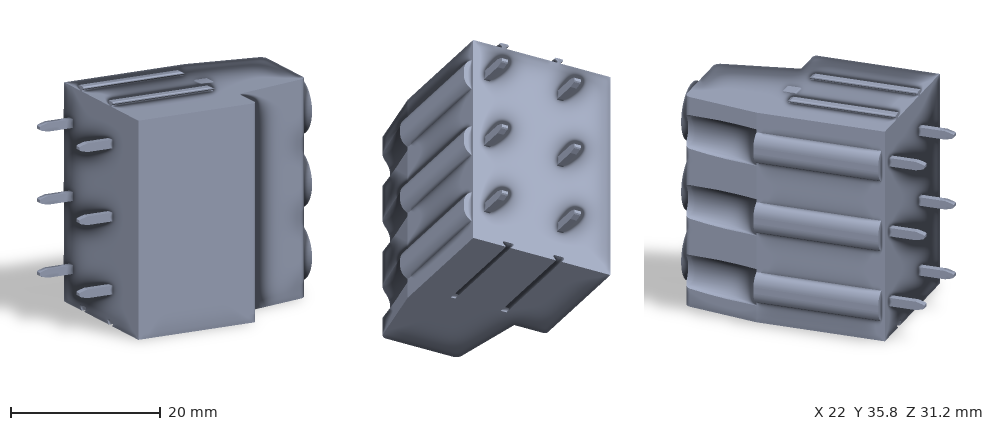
import cadquery as cq
import math


POLE_COUNT = 3
POLE_PITCH = 10.15
POLE_HEIGHTS = [(i + 0.5) * POLE_PITCH for i in range(POLE_COUNT)]

HOUSING_WIDTH = 20.87
HOUSING_LENGTH = 29.32
HOUSING_HEIGHT = POLE_COUNT * POLE_PITCH
TAPER_START_Y = 18.33
SHOULDER_Y = 17.95
SHOULDER_X = 16.0
CROWN_LEFT_X = 1.95
CROWN_RIGHT_X = 13.65
CROWN_FILLET = 1.0
SHOULDER_FILLET = 0.5

SCREW_RADIUS = 4.08
SCREW_X = 8.63
SCREW_PROJECTION = 1.45
SCOOP_RADIUS = 2.72
SCOOP_X = 0.6

RIB_PROJECTION = 1.15
RIB_WIDTH = 4.45
RIB_FLAT = 0.9
RIB_START_Y = 0.5

PIN_LENGTH = 5.0
PIN_POSITIONS = [2.08, 13.17]
PIN_WIDTH = 0.93
PIN_THICKNESS = 1.2
PIN_TAPER_LENGTH = 1.18
PIN_TAPERED_THICKNESS = 0.68
PIN_TIP_THICKNESS = 0.4
PIN_TIP_CHAMFER = 0.18

RAIL_LENGTH = 15.43
RAIL_HEIGHT = 0.7
RAIL_NECK_HEIGHT = 0.2
RAIL_LIP_HEIGHT = 0.45
RAIL_END_SLOPE = 0.5
RAIL_SIZES = [
    (4.73, 1.35, 0.65, 0.2),
    (13.05, 1.2, 0.55, 0.15),
]
SLOT_DEPTH = 0.75
SLOT_FLANK_START = 0.45
SLOT_FILLET = 0.18
SLOT_SIZES = [
    (5.35, 1.6, 0.65),
    (13.03, 1.6, 0.85),
]

MARK_X = 8.7
MARK_SIZE = 1.97
MARK_START_Y = 15.5
MARK_HEIGHT = 0.15
MARK_SLOPE = 0.25


def plane_at_y(start_y=0.0):
    """Sketch plane at the given Y, with local axes X and Z."""
    return cq.Workplane("XZ", origin=(0, start_y, 0))


def extrude_y(sketch, length):
    """Extrude toward +Y, against the normal of the sketch plane."""
    return sketch.extrude(-length)


def mirrored_outline(centre_x, half_points):
    """Closed X-Z outline from (half width, height) points mirrored about centre_x."""
    right = [(centre_x + half, z) for half, z in half_points]
    left = [(centre_x - half, z) for half, z in reversed(half_points)]
    return plane_at_y().polyline(right + left).close()


def housing():
    outline = [
        (0, 0),
        (HOUSING_WIDTH, 0),
        (HOUSING_WIDTH, SHOULDER_Y),
        (SHOULDER_X, SHOULDER_Y),
        (CROWN_RIGHT_X, HOUSING_LENGTH),
        (CROWN_LEFT_X, HOUSING_LENGTH),
        (0, TAPER_START_Y),
    ]
    block = cq.Workplane("XY").polyline(outline).close().extrude(HOUSING_HEIGHT)
    block = block.edges("|Z and >Y").fillet(CROWN_FILLET)
    return block.edges("|Z and >X and (not <Y)").fillet(SHOULDER_FILLET)


def scoop(z):
    length = HOUSING_LENGTH - TAPER_START_Y
    return extrude_y(plane_at_y(TAPER_START_Y).center(SCOOP_X, z).circle(SCOOP_RADIUS), length)


def screw_head(z):
    """Screw head, rooted in the housing by as much as it projects."""
    start_y = HOUSING_LENGTH - SCREW_PROJECTION
    return extrude_y(plane_at_y(start_y).center(SCREW_X, z).circle(SCREW_RADIUS), 2 * SCREW_PROJECTION)


def rib(z):
    """Rib with a flat crest and two arcs that run tangent into it."""
    arc_width = (RIB_WIDTH - RIB_FLAT) / 2
    radius = (arc_width**2 + RIB_PROJECTION**2) / (2 * RIB_PROJECTION)
    half_angle = math.asin(arc_width / radius) / 2
    mid_x = -RIB_PROJECTION + radius * (1 - math.cos(half_angle))
    mid_z = RIB_FLAT / 2 + radius * math.sin(half_angle)
    profile = (
        plane_at_y(RIB_START_Y)
        .moveTo(0, z - RIB_WIDTH / 2)
        .threePointArc((mid_x, z - mid_z), (-RIB_PROJECTION, z - RIB_FLAT / 2))
        .lineTo(-RIB_PROJECTION, z + RIB_FLAT / 2)
        .threePointArc((mid_x, z + mid_z), (0, z + RIB_WIDTH / 2))
        .close()
    )
    return extrude_y(profile, TAPER_START_Y - RIB_START_Y)


def pin(x, z):
    """Flat pin whose thickness narrows in two steps toward the tip."""
    half_points = [
        (PIN_THICKNESS / 2, 0),
        (PIN_THICKNESS / 2, PIN_TAPER_LENGTH - PIN_LENGTH),
        (PIN_TAPERED_THICKNESS / 2, PIN_TIP_CHAMFER - PIN_LENGTH),
        (PIN_TIP_THICKNESS / 2, -PIN_LENGTH),
    ]
    upper = [(y, z + half) for half, y in half_points]
    lower = [(y, z - half) for half, y in reversed(half_points)]
    sketch = cq.Workplane("YZ", origin=(x, 0, 0)).polyline(upper + lower).close()
    return sketch.extrude(PIN_WIDTH / 2, both=True)


def rail(centre_x, lip_width, neck_width, edge_fillet):
    """Dovetail rail with rounded upper edges and a sloped inner end."""
    base = HOUSING_HEIGHT
    half_points = [
        (neck_width / 2, base),
        (neck_width / 2, base + RAIL_NECK_HEIGHT),
        (lip_width / 2, base + RAIL_LIP_HEIGHT),
        (lip_width / 2, base + RAIL_HEIGHT),
    ]
    body = extrude_y(mirrored_outline(centre_x, half_points), RAIL_LENGTH)
    body = body.faces(">Z").edges("|Y").fillet(edge_fillet)
    end_slope = (
        cq.Workplane("YZ", origin=(centre_x, 0, 0))
        .moveTo(RAIL_LENGTH, base + RAIL_HEIGHT)
        .lineTo(RAIL_LENGTH - RAIL_END_SLOPE, base + RAIL_HEIGHT)
        .lineTo(RAIL_LENGTH, base + RAIL_LIP_HEIGHT)
        .close()
        .extrude(lip_width, both=True)
    )
    return body.cut(end_slope)


def slot(centre_x, width, mouth_width):
    """Blind dovetail slot, as long as the rail that slides into it."""
    half_points = [
        (mouth_width / 2, 0),
        (width / 2, SLOT_FLANK_START),
        (width / 2, SLOT_DEPTH),
    ]
    body = extrude_y(mirrored_outline(centre_x, half_points), RAIL_LENGTH)
    return body.faces(">Z").edges("|Y").fillet(SLOT_FILLET)


def mark():
    """Thin raised square whose pin side edge is a ramp."""
    top = HOUSING_HEIGHT + MARK_HEIGHT
    end_y = MARK_START_Y + MARK_SIZE
    outline = [
        (MARK_START_Y, HOUSING_HEIGHT),
        (MARK_START_Y + MARK_SLOPE, top),
        (end_y, top),
        (end_y, HOUSING_HEIGHT),
    ]
    sketch = cq.Workplane("YZ", origin=(MARK_X, 0, 0)).polyline(outline).close()
    return sketch.extrude(MARK_SIZE / 2, both=True)


result = housing()
for pole_z in POLE_HEIGHTS:
    result = result.cut(scoop(pole_z)).union(screw_head(pole_z)).union(rib(pole_z))
    for pin_x in PIN_POSITIONS:
        result = result.union(pin(pin_x, pole_z))
for rail_size in RAIL_SIZES:
    result = result.union(rail(*rail_size))
for slot_size in SLOT_SIZES:
    result = result.cut(slot(*slot_size))
result = result.union(mark())